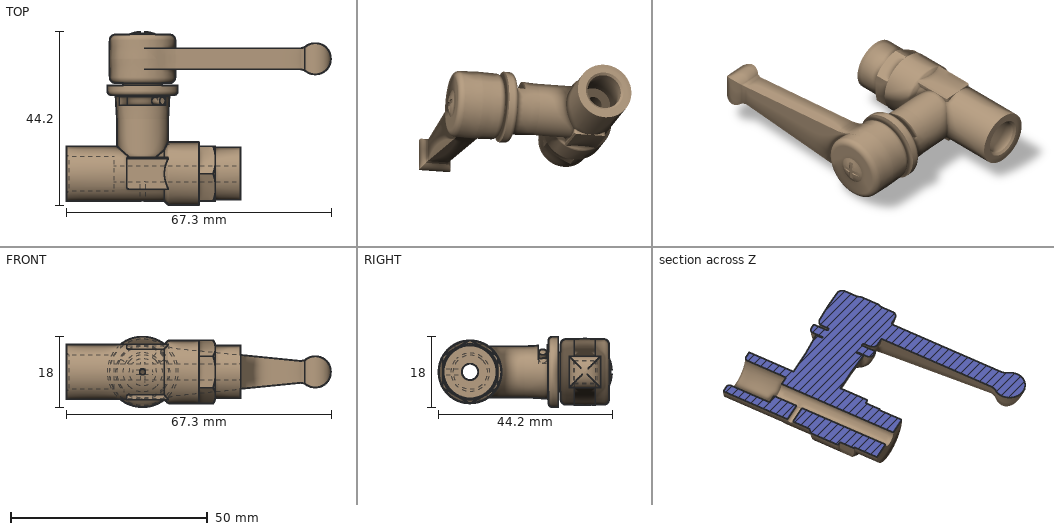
import cadquery as cq
import math


pipe_radius = 7.0
pipe_start_x = -19.35
collar_radius = 8.05
collar_cone_start_x = 5.5
collar_cone_angle = 45.0
collar_cone_length = (collar_radius - pipe_radius) / math.tan(math.radians(collar_cone_angle))
collar_start_x = collar_cone_start_x + collar_cone_length
collar_blend_radius = 0.8
collar_end_chamfer = 0.15
collar_end_x = 14.4
hex_flat_distance = 14.0
hex_end_x = 18.5
hex_chamfer_height = 0.95
hex_chamfer_length = 0.55
spigot_radius = 6.72
spigot_end_x = 24.95

bore_radius = 4.35
bore_depth = 12.0
bore_chamfer = 0.55
flow_hole_radius = 2.05
vent_hole_radius = 0.75

pad_start_x = -4.05
pad_front_y = -3.95
pad_back_y = 4.2
pad_top_z = pipe_radius + 0.05
pad_corner_radius = 0.6
pad_edge_chamfer = 0.4

stem_radius = 6.55
stem_cone_start_y = 13.85
stem_top_radius = 6.9
stem_top_y = 19.78
flange_radius = 9.0
flange_bottom_y = 19.92
flange_top_y = 22.45
flange_fillet = 1.1
neck_radius = 5.0

notch_start_y = 17.4
notch_end_y = 19.6
notch_wall_angle = 30.0
notch_core_radius = 4.43
pin_radius = 1.0
pin_tip_distance = 7.15
pin_angle = 45.0

hub_start_y = 23.0
hub_end_y = 35.4
hub_mid_y = (hub_start_y + hub_end_y) / 2
hub_band_width = 0.2
hub_mid_radius = 8.52
hub_end_radius = 8.36
hub_fillet = 1.5
cap_radius = 3.45
cap_top_y = 36.15
cap_slot_width = 1.1
cap_slot_floor_y = 35.75

lever_width = 5.4
lever_arc_radius = 8.44
lever_arc_offset = 0.2
lever_arc_end_x = 4.25
lever_straight_x = 8.35
lever_straight_half_height = 6.0
lever_end_x = 40.3
lever_end_half_height = 2.8
lever_flare_half = 3.0
ball_radius = 4.0
ball_x = 43.95
ball_neck_x = ball_x - math.sqrt(ball_radius**2 - lever_flare_half**2)

EXTRA = 1.0


def cylinder_x(radius, start_x, end_x):
    return cq.Workplane("YZ").workplane(offset=start_x).circle(radius).extrude(end_x - start_x)


def cylinder_y(radius, start_y, end_y):
    return cq.Workplane("XZ").workplane(offset=-start_y).circle(radius).extrude(start_y - end_y)


def box_between(low, high):
    sizes = [b - a for a, b in zip(low, high)]
    return cq.Workplane("XY").box(*sizes, centered=False).translate(low)


def make_pipe():
    blend_angle = math.radians(collar_cone_angle)
    blend_tangent = collar_blend_radius * math.tan(blend_angle / 2)
    outline = (
        cq.Workplane("XY")
        .moveTo(pipe_start_x, 0)
        .lineTo(pipe_start_x, pipe_radius)
        .lineTo(collar_cone_start_x, pipe_radius)
        .lineTo(
            collar_start_x - blend_tangent * math.cos(blend_angle),
            collar_radius - blend_tangent * math.sin(blend_angle),
        )
        .radiusArc((collar_start_x + blend_tangent, collar_radius), collar_blend_radius)
        .lineTo(collar_end_x - collar_end_chamfer, collar_radius)
        .lineTo(collar_end_x, collar_radius - collar_end_chamfer)
        .lineTo(collar_end_x, spigot_radius)
        .lineTo(spigot_end_x, spigot_radius)
        .lineTo(spigot_end_x, 0)
        .close()
    )
    return outline.revolve(360, (0, 0, 0), (1, 0, 0))


def make_hex():
    corner_diameter = hex_flat_distance / math.cos(math.radians(30))
    corner_radius = corner_diameter / 2
    prism = (
        cq.Workplane("YZ")
        .workplane(offset=collar_end_x)
        .polygon(6, corner_diameter)
        .extrude(hex_end_x - collar_end_x)
        .rotate((0, 0, 0), (1, 0, 0), 90)
    )
    turned = (
        cylinder_x(corner_radius, collar_end_x, hex_end_x)
        .faces(">X")
        .chamfer(hex_chamfer_length, hex_chamfer_height)
    )
    return prism.intersect(turned)


def make_pad():
    pad = box_between((pad_start_x, pad_front_y, 0), (collar_start_x, pad_back_y, pad_top_z))
    pad = pad.faces(">Z").edges(">Y").chamfer(pad_edge_chamfer)
    return pad.edges("|Z and <X").fillet(pad_corner_radius)


def make_stem():
    profile = [
        (0, 0),
        (stem_radius, 0),
        (stem_radius, stem_cone_start_y),
        (stem_top_radius, stem_top_y),
        (0, stem_top_y),
    ]
    stem = cq.Workplane("XY").polyline(profile).close().revolve(360, (0, 0, 0), (0, 1, 0))
    flange = cylinder_y(flange_radius, flange_bottom_y, flange_top_y)
    flange = flange.faces("<Y").edges().fillet(flange_fillet)
    neck = cylinder_y(neck_radius, stem_cone_start_y, hub_mid_y)
    valve_stem = stem.union(neck).union(flange)
    return valve_stem.cut(make_notch()).union(make_pin())


def make_notch():
    wall_slope = math.tan(math.radians(notch_wall_angle))
    corner_x = flange_radius
    corner_z = corner_x * wall_slope
    corners = [
        (0, 0),
        (corner_x, corner_z),
        (corner_x, flange_radius),
        (-corner_x, flange_radius),
        (-corner_x, corner_z),
    ]
    sector = (
        cq.Workplane("XZ")
        .workplane(offset=-notch_start_y)
        .polyline(corners)
        .close()
        .extrude(notch_start_y - notch_end_y)
    )
    return sector.cut(cylinder_y(notch_core_radius, notch_start_y, notch_end_y))


def make_pin():
    pin_y = (notch_start_y + notch_end_y) / 2
    pin = cq.Workplane("XY").circle(pin_radius).extrude(pin_tip_distance)
    return pin.rotate((0, 0, 0), (0, 1, 0), pin_angle).translate((0, pin_y, 0))


def make_hub():
    profile = [
        (0, hub_start_y),
        (hub_end_radius, hub_start_y),
        (hub_mid_radius, hub_mid_y - hub_band_width / 2),
        (hub_mid_radius, hub_mid_y + hub_band_width / 2),
        (hub_end_radius, hub_end_y),
        (0, hub_end_y),
    ]
    hub = cq.Workplane("XY").polyline(profile).close().revolve(360, (0, 0, 0), (0, 1, 0))
    hub = hub.faces("<Y or >Y").edges().fillet(hub_fillet)
    return hub.union(make_cap())


def make_cap():
    dome_height = cap_top_y - hub_end_y
    dome_radius = (cap_radius**2 + dome_height**2) / (2 * dome_height)
    cap = (
        cq.Workplane("XY")
        .moveTo(0, hub_mid_y)
        .lineTo(cap_radius, hub_mid_y)
        .lineTo(cap_radius, hub_end_y)
        .radiusArc((0, cap_top_y), -dome_radius)
        .close()
        .revolve(360, (0, 0, 0), (0, 1, 0))
    )
    half_slot = cap_slot_width / 2
    slot = box_between((-cap_radius, cap_slot_floor_y, -half_slot), (cap_radius, cap_top_y, half_slot))
    return cap.cut(slot).cut(slot.rotate((0, 0, 0), (0, 1, 0), 90))


def make_lever():
    arc_rise = math.sqrt(lever_arc_radius**2 - (lever_arc_end_x - lever_arc_offset) ** 2)
    arc_run = lever_arc_end_x - lever_arc_offset
    fillet_run = lever_straight_x - lever_arc_end_x
    fillet_drop = arc_rise - lever_straight_half_height
    normal_distance = (fillet_run * arc_run - fillet_drop * arc_rise) / lever_arc_radius
    fillet_radius = (fillet_run**2 + fillet_drop**2) / (2 * normal_distance)
    half_width = lever_width / 2
    ball_tip = (ball_x + ball_radius, 0)

    side_outline = (
        cq.Workplane("XZ")
        .moveTo(lever_arc_offset, -lever_arc_radius)
        .lineTo(lever_arc_offset, lever_arc_radius)
        .radiusArc((lever_arc_end_x, arc_rise), lever_arc_radius)
        .radiusArc((lever_straight_x, lever_straight_half_height), -fillet_radius)
        .lineTo(lever_end_x, lever_end_half_height)
        .lineTo(ball_neck_x, lever_flare_half)
        .threePointArc(ball_tip, (ball_neck_x, -lever_flare_half))
        .lineTo(lever_end_x, -lever_end_half_height)
        .lineTo(lever_straight_x, -lever_straight_half_height)
        .radiusArc((lever_arc_end_x, -arc_rise), -fillet_radius)
        .radiusArc((lever_arc_offset, -lever_arc_radius), lever_arc_radius)
        .close()
        .extrude(ball_radius + EXTRA, both=True)
    )
    plan_outline = (
        cq.Workplane("XY")
        .moveTo(0, half_width)
        .lineTo(lever_end_x, half_width)
        .lineTo(ball_neck_x, lever_flare_half)
        .threePointArc(ball_tip, (ball_neck_x, -lever_flare_half))
        .lineTo(lever_end_x, -half_width)
        .lineTo(0, -half_width)
        .close()
        .extrude(hub_mid_radius + EXTRA, both=True)
    )
    return side_outline.intersect(plan_outline).translate((0, hub_mid_y, 0))


def cut_bores(body):
    bore_end_x = pipe_start_x + bore_depth
    bore = cylinder_x(bore_radius, pipe_start_x, bore_end_x)
    countersink = cq.Workplane("XY").polyline(
        [
            (pipe_start_x, 0),
            (pipe_start_x, bore_radius + bore_chamfer),
            (pipe_start_x + bore_chamfer, bore_radius),
            (pipe_start_x + bore_chamfer, 0),
        ]
    )
    countersink = countersink.close().revolve(360, (0, 0, 0), (1, 0, 0))
    flow_hole = cylinder_x(flow_hole_radius, pipe_start_x, spigot_end_x)
    vent_hole = cylinder_y(vent_hole_radius, -pipe_radius - EXTRA, 0)
    return body.cut(bore).cut(countersink).cut(flow_hole).cut(vent_hole)


pad = make_pad()
valve = make_pipe().union(make_hex()).union(make_stem())
valve = valve.union(pad).union(pad.mirror("XY"))
valve = valve.union(make_hub()).union(make_lever())
result = cut_bores(valve)